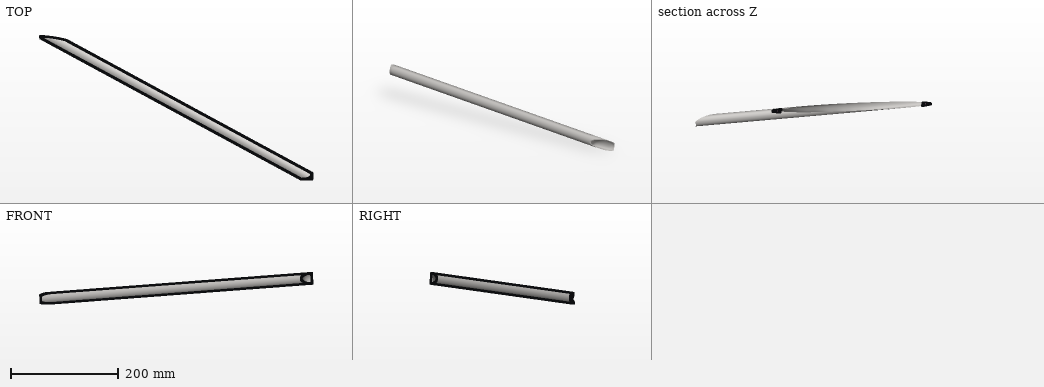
import cadquery as cq
import math

TUBE_RADIUS = 10.0
WALL = 1.0
SLOPE_Y = -0.5416
SLOPE_Z = 0.0759
AXIS_Y = 4.11
AXIS_Z = -0.48
BLANK_HALF_SPAN_X = 330.0

NOTCH_CLEARANCE = 0.05
NOTCH_RADIUS = TUBE_RADIUS + NOTCH_CLEARANCE
NOTCH_LENGTH = 300.0

RIGHT_JOINT_X = 253.14
RIGHT_NOTCH_ANGLE = -math.degrees(math.atan(SLOPE_Y))

LEFT_JOINT_X = -254.54
LEFT_NOTCH_ANGLE = 45.0

SLANT_RADIUS = 22.0
SLANT_ANGLE = -7.0
SLANT_JOINT_X = -236.54


def axis_point(x):
    return cq.Vector(x, AXIS_Y + x * SLOPE_Y, AXIS_Z + x * SLOPE_Z)


def blank_rod(radius):
    start = axis_point(-BLANK_HALF_SPAN_X)
    span = axis_point(BLANK_HALF_SPAN_X) - start
    return cq.Solid.makeCylinder(radius, span.Length, start, span)


def crossing_rod(radius, center, angle):
    """Horizontal rod centred on a point, its heading measured from +X towards +Y."""
    heading = cq.Vector(math.cos(math.radians(angle)), math.sin(math.radians(angle)), 0)
    start = center - heading * (NOTCH_LENGTH / 2)
    return cq.Solid.makeCylinder(radius, NOTCH_LENGTH, start, heading)


def notch(body, cutter):
    """Cut the body and drop the offcut beyond the joint."""
    pieces = body.cut(cutter).Solids()
    return max(pieces, key=lambda piece: piece.Volume())


def slant_cutter():
    """Rod set beside the tube so its surface meets the crest at the slant joint."""
    side = cq.Vector(-math.sin(math.radians(SLANT_ANGLE)), math.cos(math.radians(SLANT_ANGLE)), 0)
    offset = math.sqrt(SLANT_RADIUS**2 - TUBE_RADIUS**2)
    return crossing_rod(SLANT_RADIUS, axis_point(SLANT_JOINT_X) + side * offset, SLANT_ANGLE)


tube = blank_rod(TUBE_RADIUS).cut(blank_rod(TUBE_RADIUS - WALL))
tube = notch(tube, crossing_rod(NOTCH_RADIUS, axis_point(RIGHT_JOINT_X), RIGHT_NOTCH_ANGLE))
tube = notch(tube, crossing_rod(NOTCH_RADIUS, axis_point(LEFT_JOINT_X), LEFT_NOTCH_ANGLE))
tube = notch(tube, slant_cutter())
result = cq.Workplane(obj=tube)